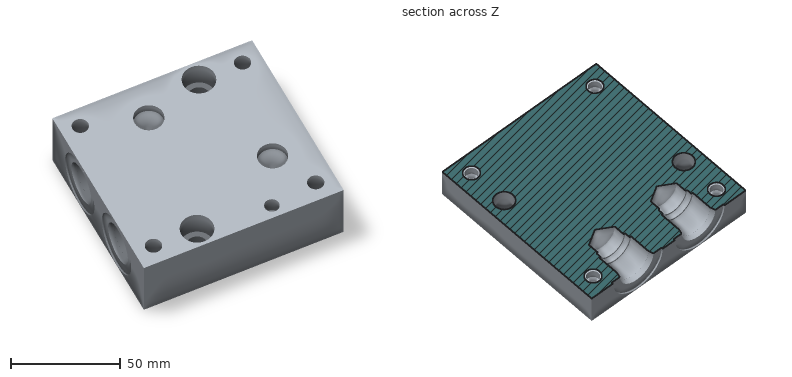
import cadquery as cq
import math

WIDTH = 95.3
LENGTH = 101.6
HEIGHT = 31.7
TOP = HEIGHT / 2
FRONT = -LENGTH / 2

DRILL_POINT_ANGLE = 118.0

BOLT_X = 38.1
CORNER_Y = 41.2
THREAD_DIA = 7.9
THREAD_DEPTH = 16.3
TAP_DRILL_DIA = 6.5
TAP_DRILL_DEPTH = 20.3

MOUNT_Y = 19.1
COUNTERBORE_DIA = 15.8
COUNTERBORE_DEPTH = 12.7
MOUNT_DIA = 10.3

FLOW_CENTRES = [(15.8, 30.2), (-28.5, -11.1)]
FLOW_DIA = 14.3
FLOW_DEPTH = 4.3
PIN_CENTRE = (41.1, 17.5)
PIN_DIA = 7.1
PIN_DEPTH = 8.1

PORT_X = 19.1
SPOTFACE_DIA = 30.6
SPOTFACE_DEPTH = 0.8
SEAL_MOUTH_DIA = 20.6
SEAL_THROAT_DIA = 19.2
SEAL_DEPTH = 3.4
PORT_THREAD_DIA = 19.1
PORT_THREAD_DEPTH = 15.2
PORT_MINOR_DIA = 17.5
PORT_MINOR_DEPTH = 18.3
PORT_DRILL_DIA = 15.8
PORT_DRILL_DEPTH = 24.4


def turned_cutter(profile):
    """Revolve (radius, depth) points into a cutter that points down from the origin."""
    outline = cq.Workplane("XZ").moveTo(0, 0)
    for radius, depth in profile:
        outline = outline.lineTo(radius, -depth)
    return outline.close().revolve(360, (0, 0, 0), (0, 1, 0))


def drilled_end(diameter, depth):
    """Points of a full-diameter wall end at the given depth and the drill tip below it."""
    radius = diameter / 2
    tip_length = radius / math.tan(math.radians(DRILL_POINT_ANGLE / 2))
    return [(radius, depth), (0, depth + tip_length)]


def blind_hole(diameter, depth):
    return turned_cutter([(diameter / 2, 0)] + drilled_end(diameter, depth))


def tapped_hole():
    thread_radius = THREAD_DIA / 2
    profile = [(thread_radius, 0), (thread_radius, THREAD_DEPTH), (TAP_DRILL_DIA / 2, THREAD_DEPTH)]
    return turned_cutter(profile + drilled_end(TAP_DRILL_DIA, TAP_DRILL_DEPTH))


def mounting_hole():
    bore_radius = COUNTERBORE_DIA / 2
    hole_radius = MOUNT_DIA / 2
    return turned_cutter([
        (bore_radius, 0),
        (bore_radius, COUNTERBORE_DEPTH),
        (hole_radius, COUNTERBORE_DEPTH),
        (hole_radius, HEIGHT),
        (0, HEIGHT),
    ])


def port():
    """Spotface, tapered seal seat, thread, minor bore and drill, pointing toward +Y."""
    profile = [
        (SPOTFACE_DIA / 2, 0),
        (SPOTFACE_DIA / 2, SPOTFACE_DEPTH),
        (SEAL_MOUTH_DIA / 2, SPOTFACE_DEPTH),
        (SEAL_THROAT_DIA / 2, SEAL_DEPTH),
        (PORT_THREAD_DIA / 2, SEAL_DEPTH),
        (PORT_THREAD_DIA / 2, PORT_THREAD_DEPTH),
        (PORT_MINOR_DIA / 2, PORT_THREAD_DEPTH),
        (PORT_MINOR_DIA / 2, PORT_MINOR_DEPTH),
        (PORT_DRILL_DIA / 2, PORT_MINOR_DEPTH),
    ]
    cutter = turned_cutter(profile + drilled_end(PORT_DRILL_DIA, PORT_DRILL_DEPTH))
    return cutter.rotate((0, 0, 0), (1, 0, 0), 90)


def cut_from_top(body, cutter, centres):
    for x, y in centres:
        body = body.cut(cutter.translate((x, y, TOP)))
    return body


result = cq.Workplane("XY").box(WIDTH, LENGTH, HEIGHT)

corner_centres = [(x, y) for x in (-BOLT_X, BOLT_X) for y in (-CORNER_Y, CORNER_Y)]
mount_centres = [(-BOLT_X, MOUNT_Y), (BOLT_X, -MOUNT_Y)]
result = cut_from_top(result, tapped_hole(), corner_centres)
result = cut_from_top(result, mounting_hole(), mount_centres)
result = cut_from_top(result, blind_hole(FLOW_DIA, FLOW_DEPTH), FLOW_CENTRES)
result = cut_from_top(result, blind_hole(PIN_DIA, PIN_DEPTH), [PIN_CENTRE])

for port_x in (-PORT_X, PORT_X):
    result = result.cut(port().translate((port_x, FRONT, 0)))